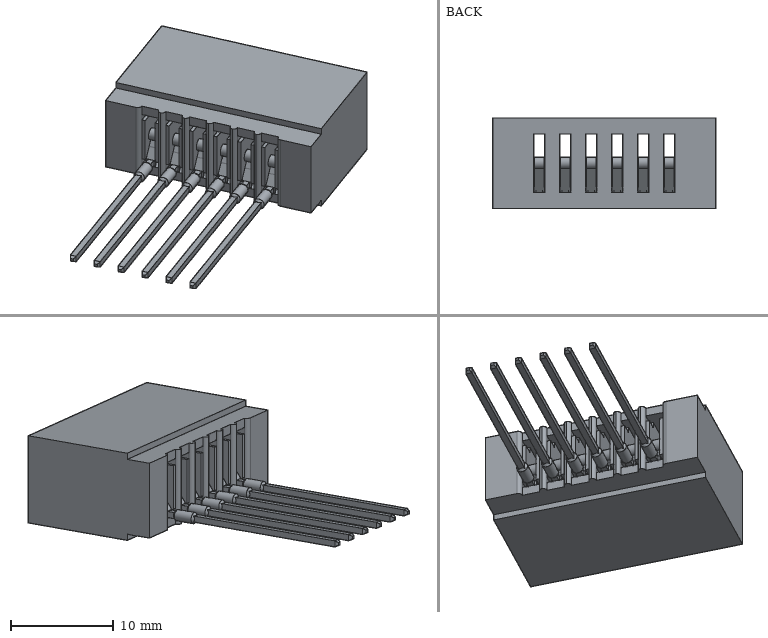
import cadquery as cq
import math

overall_length = 33.02

housing_width = 21.83
housing_height = 8.88
housing_depth = 13.97
step_depth = 2.55
step_drop = 0.63
nose_height = housing_height - 2 * step_drop

cell_count = 6
pitch = 2.55
rib_width = 0.75
cell_width = pitch - rib_width
mouth_depth = 0.43
pocket_depth = 1.65
ledge_front = 0.43
slot_width = 1.05

pin_side = 0.63
pin_z = -2.55
tip_length = 0.33
tip_inset = 0.15
collar_diameter = 1.12
collar_front = -2.58
collar_back = -0.1
collar_chamfer = 0.25

pocket_height = 2 * (pin_side / 2 - pin_z)
ledge_height = -2 * (pin_z + pin_side / 2)

spring_width = 1.0
spring_start = 0.6
spring_rise_angle = 54.0
bend_start_z = -1.22
bead_radius = 0.6
bead_y = 1.75

cell_centers = [(i - (cell_count - 1) / 2) * pitch for i in range(cell_count)]


def box_between(width, y_front, y_back, height, x=0.0, z=0.0):
    """Box centred on x and z that spans y_front to y_back."""
    return cq.Workplane("XY").box(width, y_back - y_front, height).translate(
        (x, (y_front + y_back) / 2, z)
    )


def make_mouth(x):
    """Shallow recess, open at top and bottom, that flares out over rounded wall edges."""
    inner = cell_width / 2
    outer = inner + mouth_depth
    return (
        cq.Workplane("XY", origin=(x, 0, -nose_height / 2))
        .moveTo(-inner, mouth_depth)
        .radiusArc((-outer, 0), mouth_depth)
        .lineTo(outer, 0)
        .radiusArc((inner, mouth_depth), mouth_depth)
        .close()
        .extrude(nose_height)
    )


def make_cell(x):
    """Pocket with two side ledges and a narrow slot that runs through to the back."""
    pocket = box_between(cell_width, 0, pocket_depth, pocket_height, x)
    ledges = box_between(cell_width, ledge_front, pocket_depth, ledge_height, x)
    slot = box_between(slot_width, 0, housing_depth, pocket_height, x)
    return pocket.cut(ledges).union(slot)


def make_housing():
    body = box_between(housing_width, step_depth, housing_depth, housing_height)
    nose = box_between(housing_width, 0, step_depth, nose_height)
    housing = body.union(nose)
    for x in cell_centers:
        housing = housing.cut(make_mouth(x)).cut(make_cell(x))
    return housing


def make_pin():
    """Square pin along Y with a tapered tip, in line with its collar."""
    tip_end = housing_depth - overall_length
    shank = box_between(pin_side, tip_end + tip_length, spring_start, pin_side, z=pin_z)
    tip = (
        cq.Workplane("XZ", origin=(0, tip_end + tip_length, pin_z))
        .rect(pin_side, pin_side)
        .workplane(offset=tip_length)
        .rect(pin_side - 2 * tip_inset, pin_side - 2 * tip_inset)
        .loft()
    )
    collar = (
        cq.Workplane("XZ", origin=(0, collar_back, pin_z))
        .circle(collar_diameter / 2)
        .extrude(collar_back - collar_front)
        .faces("<Y or >Y")
        .chamfer(collar_chamfer)
    )
    return shank.union(tip).union(collar)


def make_spring():
    """Strip rising from the pin to a round contact bead on the mid-height plane."""
    pin_top = pin_z + pin_side / 2
    rise = math.tan(math.radians(spring_rise_angle))
    bend_y = spring_start + (bend_start_z - pin_top) / rise
    strip = (
        cq.Workplane("YZ", origin=(-spring_width / 2, 0, 0))
        .moveTo(spring_start, pin_top)
        .lineTo(bend_y, bend_start_z)
        .tangentArcPoint((bead_y, -bead_radius), relative=False)
        .lineTo(bead_y, 0)
        .lineTo(bead_y + bead_radius, 0)
        .lineTo(spring_start, pin_top - pin_side)
        .close()
        .extrude(spring_width)
    )
    bead = (
        cq.Workplane("YZ", origin=(-spring_width / 2, bead_y, 0))
        .circle(bead_radius)
        .extrude(spring_width)
    )
    return strip.union(bead)


def make_contact(x):
    return make_pin().union(make_spring()).translate((x, 0, 0))


housing = make_housing()
contacts = [make_contact(x) for x in cell_centers]
result = cq.Compound.makeCompound([housing.val(), *[contact.val() for contact in contacts]])